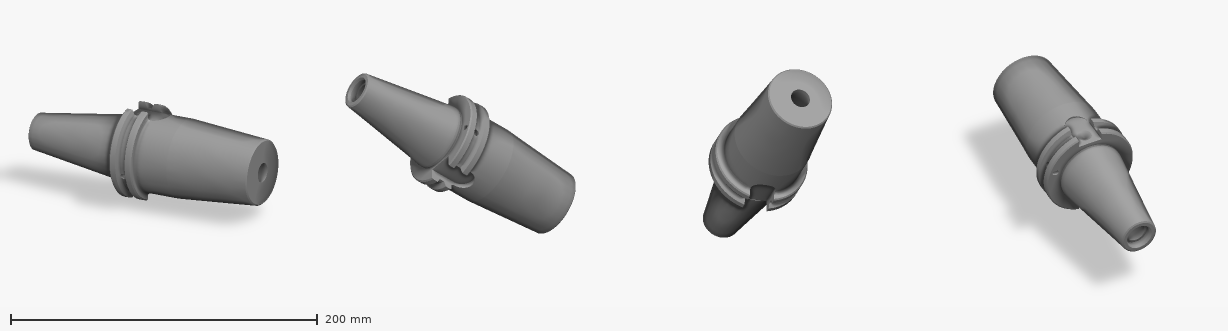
import cadquery as cq
import math

overall_length = 168.2

taper_slope = 7.0 / 48.0
gauge_radius = 22.2
taper_length = 68.0
small_end_face_radius = 11.5
small_end_chamfer_length = 0.7
small_end_radius = gauge_radius - taper_slope * (taper_length - small_end_chamfer_length)

relief_start = 69.5
relief_floor_end = 70.5
relief_radius = 43.5 / 2

flange_radius = 31.6
flange_start = 71.0
flange_end = 87.3
flange_chamfer = 0.8
groove_centre = 79.2
groove_floor_radius = 28.3
groove_floor_width = 3.5
groove_rim_width = 7.0

body_radius = 53.0 / 2
body_end = 111.0
nose_radius = 22.0
nose_chamfer = 0.8
body_fillet_radius = 2.0

through_radius = 13.0 / 2
pilot_radius = 16.3 / 2
pilot_depth = 5.0
pilot_mouth_radius = 9.1
pilot_mouth_depth = 1.7

slot_width = 16.7
slot_length = 26.5
upper_slot_floor = 25.0
lower_slot_floor = 22.4
dimple_diameter = 9.6
drill_point_angle = 118.0

coolant_angle = 20.0
face_hole_diameter = 3.5
face_hole_radii_and_depths = ((26.2, 5.0), (27.6, 2.5))
groove_hole_diameter = 4.2
groove_hole_depth = 3.4


def drill(diameter, depth, origin, direction):
    """Blind drilled hole with a conical tip; depth is to the end of the full diameter."""
    radius = diameter / 2
    tip = radius / math.tan(math.radians(drill_point_angle / 2))
    start = cq.Vector(*origin)
    axis = cq.Vector(*direction)
    point = cq.Solid.makeCone(radius, 0, tip, start + axis * depth, axis)
    if depth == 0:
        return cq.Workplane(obj=point)
    shank = cq.Solid.makeCylinder(radius, depth, start, axis)
    return cq.Workplane(obj=shank.fuse(point))


def turned_body():
    rim_half = groove_rim_width / 2
    floor_half = groove_floor_width / 2
    rim_inner = flange_radius - flange_chamfer
    return (
        cq.Workplane("XY")
        .moveTo(0, 0)
        .lineTo(0, small_end_face_radius)
        .lineTo(small_end_chamfer_length, small_end_radius)
        .lineTo(taper_length, gauge_radius)
        .lineTo(relief_start, gauge_radius)
        .lineTo(relief_start, relief_radius)
        .lineTo(relief_floor_end, relief_radius)
        .lineTo(flange_start, gauge_radius)
        .lineTo(flange_start, rim_inner)
        .lineTo(flange_start + flange_chamfer, flange_radius)
        .lineTo(groove_centre - rim_half, flange_radius)
        .lineTo(groove_centre - floor_half, groove_floor_radius)
        .lineTo(groove_centre + floor_half, groove_floor_radius)
        .lineTo(groove_centre + rim_half, flange_radius)
        .lineTo(flange_end - flange_chamfer, flange_radius)
        .lineTo(flange_end, rim_inner)
        .lineTo(flange_end, body_radius + body_fillet_radius)
        .radiusArc((flange_end + body_fillet_radius, body_radius), -body_fillet_radius)
        .lineTo(body_end, body_radius)
        .lineTo(overall_length - nose_chamfer, nose_radius)
        .lineTo(overall_length, nose_radius - nose_chamfer)
        .lineTo(overall_length, 0)
        .close()
        .revolve(360, (0, 0, 0), (1, 0, 0))
    )


def axial_bore():
    outline = [
        (0, 0),
        (0, pilot_mouth_radius),
        (pilot_mouth_depth, pilot_radius),
        (pilot_depth, pilot_radius),
        (pilot_depth, through_radius),
        (overall_length, through_radius),
        (overall_length, 0),
    ]
    return cq.Workplane("XY").polyline(outline).close().revolve(360, (0, 0, 0), (1, 0, 0))


def drive_slot(floor_height, side):
    """Slot above (side = 1) or below (side = -1) the axis."""
    half = slot_width / 2
    arc_centre = flange_start + slot_length - half
    return (
        cq.Workplane("XY")
        .workplane(offset=side * floor_height)
        .moveTo(flange_start, -half)
        .lineTo(arc_centre, -half)
        .threePointArc((arc_centre + half, 0), (arc_centre, half))
        .lineTo(flange_start, half)
        .close()
        .extrude(side * flange_radius)
    )


def coolant_holes(side):
    """Face holes and the groove hole on the +Y (side = 1) or -Y (side = -1) half."""
    y = side * math.cos(math.radians(coolant_angle))
    z = side * math.sin(math.radians(coolant_angle))
    holes = drill(
        groove_hole_diameter,
        flange_radius - groove_floor_radius + groove_hole_depth,
        (groove_centre, flange_radius * y, flange_radius * z),
        (0, -y, -z),
    )
    for radius, depth in face_hole_radii_and_depths:
        holes = holes.union(
            drill(face_hole_diameter, depth, (flange_start, radius * y, radius * z), (1, 0, 0))
        )
    return holes


result = turned_body().cut(axial_bore())
result = result.cut(drive_slot(upper_slot_floor, 1)).cut(drive_slot(lower_slot_floor, -1))
result = result.cut(drill(dimple_diameter, 0.0, (groove_centre, 0, upper_slot_floor), (0, 0, -1)))
for side in (1, -1):
    result = result.cut(coolant_holes(side))